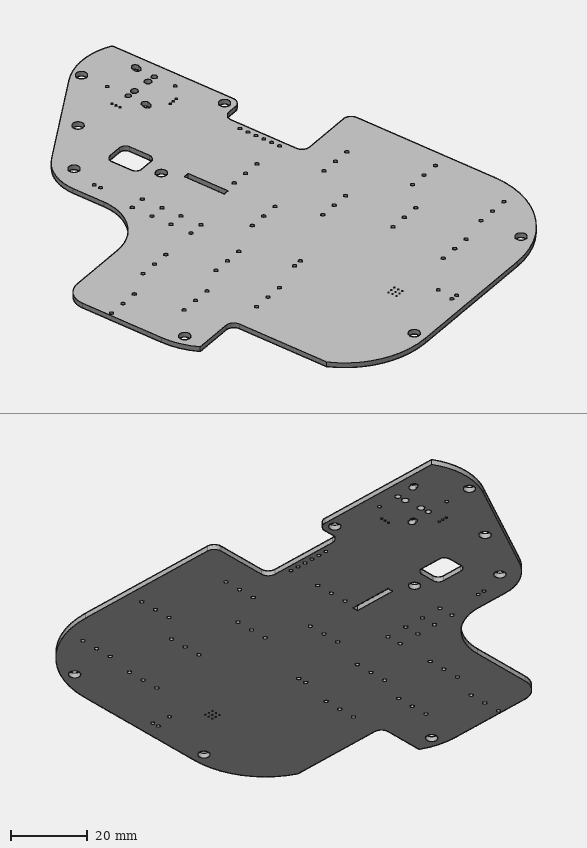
import cadquery as cq
import math

length = 142.94
width = 107.02
thickness = 1.58

tab_left = 55.6
tab_right = 97.55
notch_left = 44.1
notch_right = 70.0
notch_floor = 87.0
left_top = 94.8
left_bottom = 38.75
right_bottom = 16.65
right_arc_height = 23.5
tab_arc_run = 10.5

small_radius = 2.5
large_radius = 26.0
tab_radius = 6.0
tab_arc_radius = 22.0
waist_radius = 15.0
lower_left_radius = 13.9

encoder_x = 19.05
encoder_y = 85.03
encoder_tilt = -5.0
left_end_radius = encoder_x
slope_normal_angle = math.radians(208.28)

mounting_diameter = 3.2
led_lead_diameter = 1.1
switch_diameter = 1.1
lead_diameter = 1.0
via_diameter = 0.6
thermal_via_diameter = 0.35
post_diameter = 2.0
pad_diameter = 1.6

led_pitch = 5.08
header_pitch = 2.54
via_pitch = 1.3
group_count = 3

mounting_points = [
    (40.9, 91.87),
    (137.33, 90.32),
    (3.6, 79.83),
    (15.65, 61.67),
    (45.28, 57.7),
    (25.74, 45.88),
    (139.28, 40.15),
    (91.53, 4.1),
]

led_columns = [
    (101.27, 97.05),
    (124.87, 94.87),
    (79.1, 88.33),
    (107.83, 79.25),
    (126.4, 75.95),
    (89.95, 72.78),
    (63.18, 70.4),
    (77.8, 58.22),
    (81.5, 36.95),
    (99.25, 30.45),
    (66.9, 24.7),
    (84.8, 18.2),
    (70.25, 6.05),
]

header_start = (50.66, 85.26)
header_count = 6

switch_columns = [47.87, 54.22, 60.32, 66.75]
switch_rows = [41.15, 45.63]

pair_leads = [(96.92, 48.08), (96.92, 45.52)]
single_leads = [
    (133.38, 59.01),
    (138.62, 59.89),
    (138.52, 57.92),
    (34.1, 43.28),
    (36.18, 43.28),
]

via_row_middle = (18.58, 74.45)
via_column_middle = (29.6, 84.68)
thermal_via_middle = (124.8, 51.8)

window_center = (35.1, 58.1)
window_size = (10.1, 7.9)
window_radius = 1.9
slit_center = (57.48, 60.76)
slit_size = (12.8, 1.7)

encoder_lug = (6.15, -5.15)
encoder_lug_size = (3.0, 2.0)
encoder_lug_tilt = -15.0
encoder_post = (0.0, 2.7)
encoder_pad = (-0.1, 5.3)
encoder_lead = (6.6, 5.9)


def polar(center, radius, angle):
    return (center[0] + radius * math.cos(angle), center[1] + radius * math.sin(angle))


def circle_rise(radius, run):
    """Height of a circle above its centre at a sideways distance from it."""
    return math.sqrt(radius**2 - run**2)


def board():
    r = small_radius
    right_lower_center = (length - large_radius, right_bottom + right_arc_height)
    right_lower_end = right_lower_center[0] + circle_rise(large_radius, right_arc_height)
    tab_arc_start = tab_right - tab_arc_run
    tab_arc_end = tab_arc_radius - circle_rise(tab_arc_radius, tab_arc_run)
    tab_arc_middle_angle = -math.pi / 2 + math.asin(tab_arc_run / tab_arc_radius) / 2
    tab_arc_middle = polar((tab_arc_start, tab_arc_radius), tab_arc_radius, tab_arc_middle_angle)

    encoder_center = (encoder_x, encoder_y)
    left_end_start = encoder_x - circle_rise(left_end_radius, left_top - encoder_y)
    slope_top = polar(encoder_center, left_end_radius, slope_normal_angle)
    lower_left_y = left_bottom + lower_left_radius
    drop = encoder_y - lower_left_y
    radius_change = left_end_radius - lower_left_radius
    lower_left_x = (
        encoder_x
        + (radius_change + drop * math.sin(slope_normal_angle)) / math.cos(slope_normal_angle)
    )
    slope_bottom = polar((lower_left_x, lower_left_y), lower_left_radius, slope_normal_angle)

    outline = (
        cq.Workplane("XY")
        .moveTo(left_end_start, left_top)
        .lineTo(notch_left - r, left_top)
        .tangentArcPoint((notch_left, left_top - r), relative=False)
        .lineTo(notch_left, notch_floor + r)
        .tangentArcPoint((notch_left + r, notch_floor), relative=False)
        .lineTo(notch_right - r, notch_floor)
        .tangentArcPoint((notch_right, notch_floor + r), relative=False)
        .lineTo(notch_right, width - r)
        .tangentArcPoint((notch_right + r, width), relative=False)
        .lineTo(length - large_radius, width)
        .tangentArcPoint((length, width - large_radius), relative=False)
        .lineTo(length, right_lower_center[1])
        .tangentArcPoint((right_lower_end, right_bottom), relative=False)
        .lineTo(tab_right + r, right_bottom)
        .tangentArcPoint((tab_right, right_bottom - r), relative=False)
        .lineTo(tab_right, tab_arc_end)
        .threePointArc(tab_arc_middle, (tab_arc_start, 0))
        .lineTo(tab_left + tab_radius, 0)
        .tangentArcPoint((tab_left, tab_radius), relative=False)
        .lineTo(tab_left, left_bottom - waist_radius)
        .tangentArcPoint((tab_left - waist_radius, left_bottom), relative=False)
        .lineTo(lower_left_x, left_bottom)
        .tangentArcPoint(slope_bottom, relative=False)
        .lineTo(*slope_top)
        .threePointArc((encoder_x - left_end_radius, encoder_y), (left_end_start, left_top))
        .close()
    )
    return outline.extrude(thickness)


def drills(points, diameter):
    return cq.Workplane("XY").pushPoints(points).circle(diameter / 2).extrude(thickness)


def line_of_points(middle, pitch, count, along_x):
    points = []
    for index in range(count):
        offset = (index - (count - 1) / 2) * pitch
        if along_x:
            points.append((middle[0] + offset, middle[1]))
        else:
            points.append((middle[0], middle[1] + offset))
    return points


def led_drills():
    points = []
    for middle in led_columns:
        points += line_of_points(middle, led_pitch, group_count, along_x=False)
    return drills(points, led_lead_diameter)


def header_drills():
    points = [(header_start[0] + i * header_pitch, header_start[1]) for i in range(header_count)]
    return drills(points, lead_diameter)


def switch_drills():
    points = [(x, y) for x in switch_columns for y in switch_rows]
    return drills(points, switch_diameter)


def via_drills():
    row = line_of_points(via_row_middle, via_pitch, group_count, along_x=True)
    column = line_of_points(via_column_middle, via_pitch, group_count, along_x=False)
    return drills(row + column, via_diameter)


def thermal_via_drills():
    points = []
    for middle in line_of_points(thermal_via_middle, via_pitch, group_count, along_x=False):
        points += line_of_points(middle, via_pitch, group_count, along_x=True)
    return drills(points, thermal_via_diameter)


def encoder_cutouts():
    def with_twin(point):
        return [point, (-point[0], -point[1])]

    lugs = (
        cq.Workplane("XY")
        .pushPoints(with_twin(encoder_lug))
        .slot2D(*encoder_lug_size, angle=encoder_lug_tilt)
        .extrude(thickness)
    )
    cutouts = (
        lugs.add(drills(with_twin(encoder_post), post_diameter))
        .add(drills(with_twin(encoder_pad), pad_diameter))
        .add(drills(with_twin(encoder_lead), lead_diameter))
        .combine()
    )
    return cutouts.rotate((0, 0, 0), (0, 0, 1), encoder_tilt).translate((encoder_x, encoder_y, 0))


def window():
    block = cq.Workplane("XY").center(*window_center).rect(*window_size).extrude(thickness)
    return block.edges("|Z").fillet(window_radius)


def slit():
    return cq.Workplane("XY").center(*slit_center).rect(*slit_size).extrude(thickness)


result = (
    board()
    .cut(drills(mounting_points, mounting_diameter))
    .cut(led_drills())
    .cut(header_drills())
    .cut(switch_drills())
    .cut(drills(pair_leads, led_lead_diameter))
    .cut(drills(single_leads, lead_diameter))
    .cut(via_drills())
    .cut(thermal_via_drills())
    .cut(encoder_cutouts())
    .cut(window())
    .cut(slit())
)